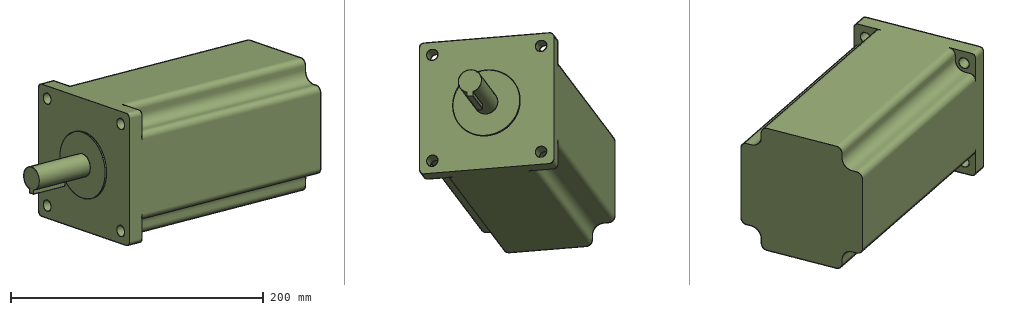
import cadquery as cq

total_length = 256.4
square_side = 110.0

flange_thickness = 13.3
flange_corner_radius = 3.8
hole_spacing = 89.0
hole_diameter = 9.2

housing_length = 188.0
notch_depth = 18.5
notch_root_radius = 9.2
notch_edge_radius = 5.5

pilot_diameter = 54.9
pilot_height = 1.5
shaft_diameter = 19.0

key_width = 4.9
key_length = 34.4
key_reach = 12.5

housing_back = flange_thickness + housing_length
shaft_end = housing_back - total_length


def along_y(start):
    """Workplane at Y = start, facing -Y, with local x along X and local y along Z."""
    return cq.Workplane("XZ", origin=(0, start, 0))


def make_housing():
    block = along_y(housing_back).rect(square_side, square_side).extrude(housing_length)
    notches = (
        along_y(housing_back)
        .rect(square_side, square_side, forConstruction=True)
        .vertices()
        .rect(2 * notch_depth, 2 * notch_depth)
        .extrude(housing_length)
        .edges("|Y")
        .fillet(notch_root_radius)
    )
    housing = block.cut(notches)
    outer_edges = housing.edges("|Y").edges("<X or >X or <Z or >Z")
    return outer_edges.fillet(notch_edge_radius)


def make_flange():
    return (
        along_y(flange_thickness)
        .rect(square_side, square_side)
        .extrude(flange_thickness)
        .edges("|Y")
        .fillet(flange_corner_radius)
    )


def make_screw_holes():
    return (
        along_y(flange_thickness)
        .rect(hole_spacing, hole_spacing, forConstruction=True)
        .vertices()
        .circle(hole_diameter / 2)
        .extrude(flange_thickness)
    )


def make_key():
    """Key below the shaft, with a half-round inner end."""
    key_radius = key_width / 2
    round_end = shaft_end + key_length
    straight_end = round_end - key_radius
    return (
        cq.Workplane("XY", origin=(0, 0, -key_reach))
        .moveTo(-key_radius, shaft_end)
        .lineTo(key_radius, shaft_end)
        .lineTo(key_radius, straight_end)
        .threePointArc((0, round_end), (-key_radius, straight_end))
        .close()
        .extrude(key_reach)
    )


pilot = along_y(0).circle(pilot_diameter / 2).extrude(pilot_height)
shaft = along_y(0).circle(shaft_diameter / 2).extrude(-shaft_end)

result = (
    make_housing()
    .union(make_flange())
    .cut(make_screw_holes())
    .union(pilot)
    .union(shaft)
    .union(make_key())
)